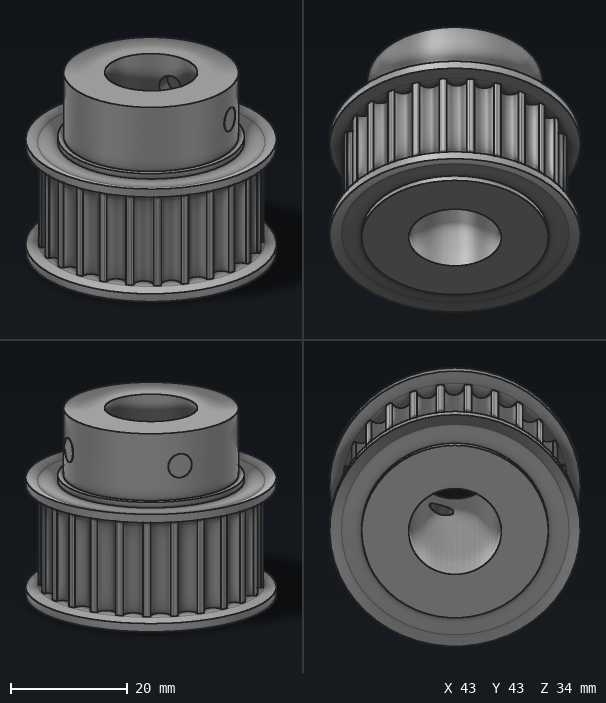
import cadquery as cq
import math

flange_diameter = 43.0
body_height = 22.0
hub_height = 12.0

hub_diameter = 30.0
bore_diameter = 15.85
shoulder_diameter = 32.0
shoulder_rise = 1.0

tooth_count = 25
tip_diameter = 38.65
groove_depth = 2.05
groove_radius = 1.7
tip_fillet = 0.35
first_groove_angle = 90.0

flange_thickness = 1.5
flange_flat_diameter = 39.0
flange_angle = 15.0

screw_diameter = 4.25
screw_length = 4.0
screw_angles = (0, 90)

total_height = body_height + hub_height
flange_inner_z = shoulder_rise + flange_thickness
toothed_height = body_height - 2 * flange_inner_z
screw_z = body_height + hub_height / 2
pitch_angle = 360 / tooth_count


def cylinder(diameter, bottom, height):
    return cq.Workplane("XY").workplane(offset=bottom).circle(diameter / 2).extrude(height)


def radial_cylinder(diameter, inner_end, length, angle):
    """Cylinder pointing outwards from the pulley axis, half way up the hub."""
    return (
        cq.Workplane("YZ")
        .workplane(offset=inner_end)
        .center(0, screw_z)
        .circle(diameter / 2)
        .extrude(length)
        .rotate((0, 0, 0), (0, 0, 1), angle)
    )


def make_groove_cutter():
    """Round-bottomed groove along Z whose corners flare out to the tip circle in convex arcs."""
    tip_radius = tip_diameter / 2
    arc_centre = tip_radius - groove_depth + groove_radius
    corner_y = groove_radius + tip_fillet
    corner_distance = tip_radius - tip_fillet
    corner_x = math.sqrt(corner_distance**2 - corner_y**2)
    touch_x = corner_x * tip_radius / corner_distance
    touch_y = corner_y * tip_radius / corner_distance
    corner_turn = (math.pi / 2 + math.atan2(corner_y, corner_x)) / 2
    middle_x = corner_x + tip_fillet * math.sin(corner_turn)
    middle_y = corner_y - tip_fillet * math.cos(corner_turn)
    outside_x = tip_radius + tip_fillet
    return (
        cq.Workplane("XY")
        .workplane(offset=flange_inner_z)
        .moveTo(outside_x, touch_y)
        .lineTo(touch_x, touch_y)
        .threePointArc((middle_x, middle_y), (corner_x, groove_radius))
        .lineTo(arc_centre, groove_radius)
        .threePointArc((arc_centre - groove_radius, 0), (arc_centre, -groove_radius))
        .lineTo(corner_x, -groove_radius)
        .threePointArc((middle_x, -middle_y), (touch_x, -touch_y))
        .lineTo(outside_x, -touch_y)
        .close()
        .extrude(toothed_height)
    )


def make_set_screw(angle):
    """Plain cylinder whose flat outer end touches the hub surface."""
    return radial_cylinder(screw_diameter, hub_diameter / 2 - screw_length, screw_length, angle)


def make_pulley():
    """Toothed ring, shouldered core and hub in one piece, bored through, with two screw holes."""
    toothed_ring = cylinder(tip_diameter, flange_inner_z, toothed_height)
    groove = make_groove_cutter()
    for index in range(tooth_count):
        angle = first_groove_angle + index * pitch_angle
        toothed_ring = toothed_ring.cut(groove.rotate((0, 0, 0), (0, 0, 1), angle))
    core = cylinder(shoulder_diameter, 0, body_height)
    hub = cylinder(hub_diameter, body_height, hub_height)
    pulley = toothed_ring.union(core).union(hub).cut(cylinder(bore_diameter, 0, total_height))
    for angle in screw_angles:
        pulley = pulley.cut(radial_cylinder(screw_diameter, 0, hub_diameter, angle))
    return pulley


def make_bottom_flange():
    """Flat ring on the shoulder whose outer band is bent away from the teeth."""
    inner_radius = shoulder_diameter / 2
    flat_radius = flange_flat_diameter / 2
    outer_radius = flange_diameter / 2
    slope = math.tan(math.radians(flange_angle))
    drop = (outer_radius - flat_radius) * slope
    return (
        cq.Workplane("XZ")
        .moveTo(inner_radius, shoulder_rise)
        .lineTo(flat_radius, shoulder_rise)
        .lineTo(outer_radius, shoulder_rise - drop)
        .lineTo(outer_radius, shoulder_rise - drop + flange_thickness)
        .lineTo(flat_radius, flange_inner_z)
        .lineTo(inner_radius, flange_inner_z)
        .close()
        .revolve(360, (0, 0, 0), (0, 1, 0))
    )


pulley = make_pulley()
bottom_flange = make_bottom_flange()
top_flange = bottom_flange.mirror("XY", basePointVector=(0, 0, body_height / 2))

set_screws = [make_set_screw(angle) for angle in screw_angles]

result = cq.Compound.makeCompound(
    [pulley.val(), bottom_flange.val(), top_flange.val(), *[screw.val() for screw in set_screws]]
)